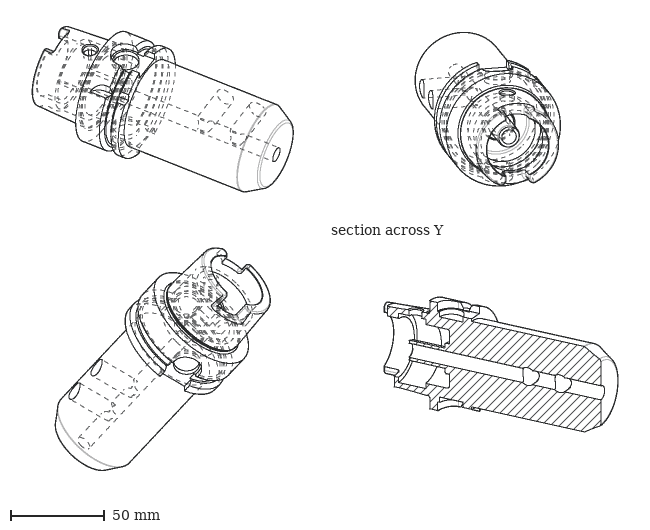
import cadquery as cq
import math

total_length = 137.0
flange_face = 31.8
flange_length = 26.0
flange_end = flange_face + flange_length

gauge_diameter = 48.0
gauge_station = 25.5
taper_slope = 0.05
taper_end = 29.7
neck_start = 30.5
neck_radius = 23.8
nose_rounding = 0.8
root_diameter = 50.0
root_start = 31.1

flange_radius = 31.5
groove_radius = 27.4
groove_wall_radius = 28.8
groove_floor_start = 48.0
groove_floor_end = 51.8
groove_bevel = 1.6

body_radius = 50.0 / 2
end_cone_start = 126.9
end_cone_angle = 30.0
cone_edge_rounding = 0.8
end_rounding = 1.6

mouth_radius = 34.5 / 2
mouth_bevel = 0.3
clamp_groove_start = 12.9
clamp_groove_end = 29.5
clamp_groove_radius = 40.0 / 2
cavity_radius = 34.0 / 2
cavity_floor = 43.8
cavity_floor_rounding = 1.1

tube_radius = 12.0 / 2
tube_tip_radius = 11.2 / 2
tube_tip = 19.2
tube_bevel_length = 1.4
nut_radius = 18.0 / 2
nut_height = 2.7
nut_bevel = 0.8
coolant_bore_diameter = 8.0

slot_half_width = 6.3
slot_flare_radius = 2.7
slot_flare_start = 18.0
slot_corner_radius = 1.5
slot_depth_top = 5.9
slot_depth_bottom = 10.0

access_station = 23.2
access_diameter = 7.5
access_rim_bevel = 0.7

keyway_width = 16.3
keyway_station = 45.1
keyway_floor = 26.5
keyway_hole_diameter = 14.0
keyway_hole_depth = 3.0
notch_station = 43.8
notch_distance = 20.0

screw_stations = (91.9, 111.7)
screw_diameter = 10.0


def taper_radius(station):
    return gauge_diameter / 2 + (station - gauge_station) * taper_slope


def revolve_about_x(points):
    """Solid of revolution from (station, radius) points."""
    return cq.Workplane("XY").polyline(points).close().revolve(360, (0, 0, 0), (1, 0, 0))


def ring_edges(station, radius):
    """Selector for the circle at a given station and radius."""
    reach = radius + 0.07
    inner = radius - 0.07
    outer_box = cq.selectors.BoxSelector(
        (station - 0.07, -reach, -reach), (station + 0.07, reach, reach), boundingbox=True
    )
    inner_box = cq.selectors.BoxSelector(
        (station - 0.07, -inner, -inner), (station + 0.07, inner, inner), boundingbox=True
    )
    return outer_box - inner_box


def rim_edges(half_width, height):
    """Selector for everything in the front plane within the outline of a drive slot."""
    reach = half_width + 0.1
    return cq.selectors.BoxSelector(
        (-0.07, -reach, 0), (0.07, reach, height + 0.1), boundingbox=True
    )


def make_blank():
    end_radius = body_radius - (total_length - end_cone_start) * math.tan(math.radians(end_cone_angle))
    blank = revolve_about_x([
        (0, 0),
        (0, taper_radius(0)),
        (taper_end, taper_radius(taper_end)),
        (neck_start, neck_radius),
        (root_start, neck_radius),
        (flange_face, root_diameter / 2),
        (flange_face, flange_radius),
        (groove_floor_start - groove_bevel, flange_radius),
        (groove_floor_start, groove_wall_radius),
        (groove_floor_start, groove_radius),
        (groove_floor_end, groove_radius),
        (groove_floor_end, groove_wall_radius),
        (groove_floor_end + groove_bevel, flange_radius),
        (flange_end, flange_radius),
        (flange_end, body_radius),
        (end_cone_start, body_radius),
        (total_length, end_radius),
        (total_length, 0),
    ])
    blank = blank.edges(ring_edges(0, taper_radius(0))).fillet(nose_rounding)
    blank = blank.edges(ring_edges(end_cone_start, body_radius)).fillet(cone_edge_rounding)
    return blank.edges(ring_edges(total_length, end_radius)).fillet(end_rounding)


def make_cavity():
    cavity = revolve_about_x([
        (0, 0),
        (0, mouth_radius),
        (mouth_bevel, cavity_radius),
        (clamp_groove_start, cavity_radius),
        (clamp_groove_start, clamp_groove_radius),
        (clamp_groove_end, clamp_groove_radius),
        (clamp_groove_end, cavity_radius),
        (cavity_floor, cavity_radius),
        (cavity_floor, 0),
    ])
    return cavity.edges(ring_edges(cavity_floor, cavity_radius)).fillet(cavity_floor_rounding)


def make_coolant_tube():
    nut_top = cavity_floor - nut_height
    return revolve_about_x([
        (tube_tip, 0),
        (tube_tip, tube_tip_radius),
        (tube_tip + tube_bevel_length, tube_radius),
        (nut_top, tube_radius),
        (nut_top, nut_radius - nut_bevel),
        (nut_top + nut_bevel, nut_radius),
        (cavity_floor, nut_radius),
        (cavity_floor, 0),
    ])


def make_drive_slot(depth):
    """Cutter for one drive slot on the +Z side: straight walls that flare out in quarter rounds."""
    flare_side = slot_half_width + slot_flare_radius
    flare_top = slot_flare_start + slot_flare_radius
    outer_side = flare_side + slot_flare_radius
    outer_top = flare_top + 2 * slot_flare_radius
    bend = slot_flare_radius * math.sqrt(0.5)
    profile = (
        cq.Workplane("YZ")
        .moveTo(-slot_half_width, cavity_radius / 2)
        .lineTo(slot_half_width, cavity_radius / 2)
        .lineTo(slot_half_width, slot_flare_start)
        .threePointArc((flare_side - bend, slot_flare_start + bend), (flare_side, flare_top))
        .lineTo(outer_side, flare_top)
        .lineTo(outer_side, outer_top)
        .lineTo(-outer_side, outer_top)
        .lineTo(-outer_side, flare_top)
        .lineTo(-flare_side, flare_top)
        .threePointArc((bend - flare_side, slot_flare_start + bend), (-slot_half_width, slot_flare_start))
        .close()
    )
    slot = profile.extrude(depth).faces(">X").edges().fillet(slot_corner_radius)
    slab = cq.Workplane("YZ").rect(4 * outer_top, 4 * outer_top).extrude(-nose_rounding)
    return slab.union(slot).edges(rim_edges(outer_side, outer_top)).fillet(nose_rounding)


def add_access_hole(body):
    """Cut the radial hole on the +Z side and bevel its outer rim."""
    radius = access_diameter / 2
    inner_end = (tube_radius + cavity_radius) / 2
    hole = cq.Workplane("XY", origin=(access_station, 0, inner_end)).circle(radius)
    body = body.cut(hole.extrude(flange_radius - inner_end))
    rim = cq.selectors.BoxSelector(
        (access_station - access_diameter, -access_diameter, clamp_groove_radius + access_rim_bevel),
        (access_station + access_diameter, access_diameter, flange_radius),
    )
    return body.edges(rim).chamfer(access_rim_bevel)


def make_keyway():
    """Cutter for the +Z keyway: a round-ended slot open to the flange end, with a round pocket."""
    slot_height = flange_radius - keyway_floor
    run_out = flange_end - keyway_station
    plane = cq.Workplane("XY", origin=(keyway_station, 0, keyway_floor))
    slot = plane.circle(keyway_width / 2).extrude(slot_height)
    slot = slot.union(plane.rect(2 * run_out, keyway_width).extrude(slot_height).intersect(
        plane.center(run_out / 2, 0).rect(run_out, keyway_width).extrude(slot_height)))
    return slot.union(plane.circle(keyway_hole_diameter / 2).extrude(-keyway_hole_depth))


def make_notch():
    """Cutter for the orientation notch: its wall and floor lie equally far from the axis."""
    height = flange_radius - notch_distance
    run_out = flange_end - notch_station
    plane = cq.Workplane("XY", origin=(notch_station, -notch_distance - keyway_width / 2, notch_distance))
    round_end = plane.circle(keyway_width / 2).extrude(height)
    return round_end.union(plane.center(run_out / 2, 0).rect(run_out, keyway_width).extrude(height))


def opposite(cutter):
    return cutter.rotate((0, 0, 0), (1, 0, 0), 180)


result = make_blank().cut(make_cavity())
result = result.cut(make_drive_slot(slot_depth_top)).cut(opposite(make_drive_slot(slot_depth_bottom)))

result = add_access_hole(result).union(make_coolant_tube())
result = result.cut(make_keyway()).cut(opposite(make_keyway())).cut(make_notch())

coolant_bore = cq.Workplane("YZ").circle(coolant_bore_diameter / 2).extrude(total_length)
result = result.cut(coolant_bore)

for station in screw_stations:
    screw_hole = cq.Workplane("XZ", origin=(station, 0, 0)).circle(screw_diameter / 2).extrude(-body_radius)
    result = result.cut(screw_hole)